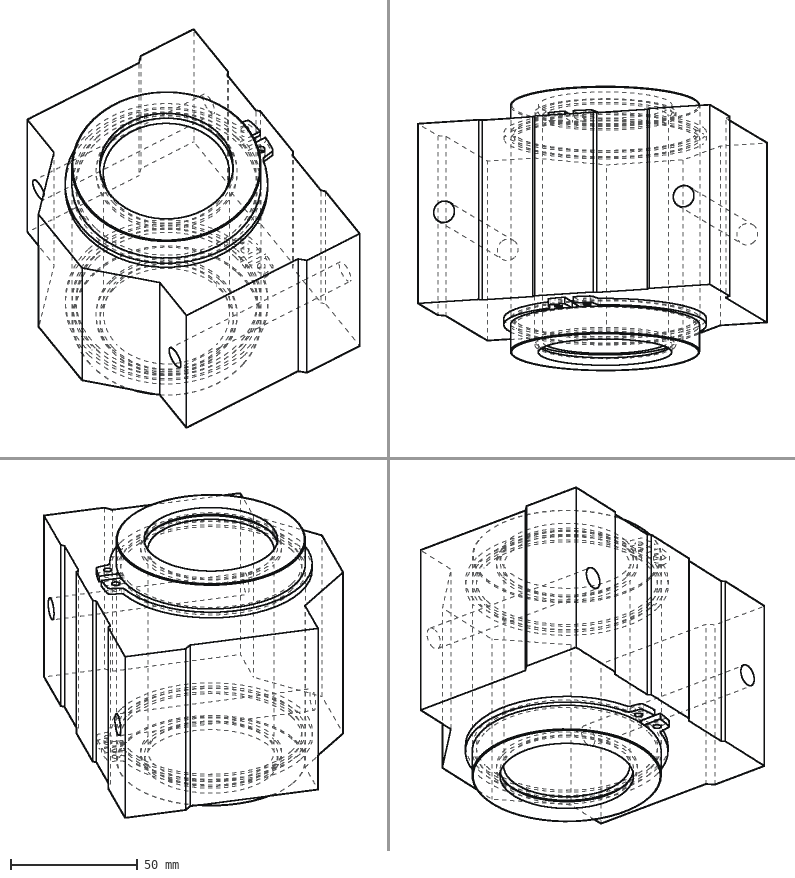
import cadquery as cq
import math

housing_height = 72.7
head_width = 122.0
body_width = 116.9
head_face_y = 52.0
head_side_y = 27.1
shoulder_y = -28.0
nose_y = -50.0
shoulder_half_width = 38.8
nose_half_width = 16.0

relief_center_x = 23.9
relief_width = 23.4
relief_depth = 1.2

mount_hole_diameter = 8.7
mount_hole_x = 50.0

sleeve_length = 100.0
sleeve_diameter = 75.0
bore_diameter = 50.0
mouth_diameter = 53.0
mouth_depth = 3.0
undercut_diameter = 56.0
undercut_length = 1.5
sleeve_end_chamfer = 0.4
groove_diameter = 72.0

ring_thickness = 2.6
ring_diameter = 80.4
ring_gap = 3.7
lug_tip_radius = 45.5
lug_tip_half_width = 9.2
lug_root_half_width = 10.1
lug_fillet = 1.2
lug_hole_diameter = 3.0
lug_hole_x = 6.0
lug_hole_y = 40.7

ring_center_z = (housing_height + ring_thickness) / 2


def cylinder(diameter, height):
    """Cylinder on the Z axis, centred on the origin."""
    return cq.Workplane("XY").cylinder(height, diameter / 2)


def make_housing():
    half_head = head_width / 2
    half_body = body_width / 2
    body_side_y = head_side_y - (half_head - half_body)
    right_side = [
        (nose_half_width, nose_y),
        (shoulder_half_width, shoulder_y),
        (half_body, shoulder_y),
        (half_body, body_side_y),
        (half_head, head_side_y),
        (half_head, head_face_y),
    ]
    left_side = [(-x, y) for x, y in reversed(right_side)]
    block = cq.Workplane("XY").polyline(right_side + left_side).close()
    block = block.extrude(housing_height / 2, both=True)

    half_mouth = relief_width / 2
    half_floor = half_mouth - relief_depth
    floor_y = head_face_y - relief_depth
    for side in (-1, 1):
        center_x = side * relief_center_x
        relief = cq.Workplane("XY").polyline([
            (center_x - half_mouth, head_face_y),
            (center_x - half_floor, floor_y),
            (center_x + half_floor, floor_y),
            (center_x + half_mouth, head_face_y),
        ]).close().extrude(housing_height / 2, both=True)
        block = block.cut(relief)

    mount_holes = (
        cq.Workplane("XZ")
        .pushPoints([(-mount_hole_x, 0), (mount_hole_x, 0)])
        .circle(mount_hole_diameter / 2)
        .extrude(head_width, both=True)
    )
    return block.cut(mount_holes).cut(cylinder(sleeve_diameter, housing_height))


def make_sleeve():
    sleeve = cylinder(sleeve_diameter, sleeve_length).faces("|Z").chamfer(sleeve_end_chamfer)
    sleeve = sleeve.cut(cylinder(bore_diameter, sleeve_length))
    mouth = cylinder(mouth_diameter, mouth_depth)
    undercut = cylinder(undercut_diameter, undercut_length)
    groove = cylinder(sleeve_diameter, ring_thickness).cut(cylinder(groove_diameter, ring_thickness))
    mouth_center_z = (sleeve_length - mouth_depth) / 2
    undercut_center_z = (sleeve_length - undercut_length) / 2 - mouth_depth
    for side in (-1, 1):
        sleeve = sleeve.cut(mouth.translate((0, 0, side * mouth_center_z)))
        sleeve = sleeve.cut(undercut.translate((0, 0, side * undercut_center_z)))
        sleeve = sleeve.cut(groove.translate((0, 0, side * ring_center_z)))
    return sleeve


def make_retaining_ring():
    """External retaining ring centred on the origin, with its gap and lugs at +Y."""
    lug_tip_y = math.sqrt(lug_tip_radius**2 - lug_tip_half_width**2)
    lug_root_y = math.sqrt((ring_diameter / 2) ** 2 - lug_root_half_width**2)
    lugs = (
        cq.Workplane("XY")
        .moveTo(0, 0)
        .lineTo(lug_root_half_width, lug_root_y)
        .lineTo(lug_tip_half_width, lug_tip_y)
        .threePointArc((0, lug_tip_radius), (-lug_tip_half_width, lug_tip_y))
        .lineTo(-lug_root_half_width, lug_root_y)
        .close()
        .extrude(ring_thickness / 2, both=True)
    )
    gap = cq.Workplane("XY").box(ring_gap, lug_tip_radius, ring_thickness, centered=(True, False, True))
    lug_holes = (
        cq.Workplane("XY")
        .pushPoints([(-lug_hole_x, lug_hole_y), (lug_hole_x, lug_hole_y)])
        .circle(lug_hole_diameter / 2)
        .extrude(ring_thickness / 2, both=True)
    )
    lug_region = cq.selectors.BoxSelector(
        (-lug_tip_radius, lug_root_y / 2, -ring_thickness),
        (lug_tip_radius, lug_tip_radius, ring_thickness),
    )
    ring = cylinder(ring_diameter, ring_thickness).union(lugs)
    ring = ring.edges("|Z").edges(lug_region).fillet(lug_fillet)
    return ring.cut(cylinder(groove_diameter, ring_thickness)).cut(gap).cut(lug_holes)


housing = make_housing()
sleeve = make_sleeve()
rings = [
    make_retaining_ring().translate((0, 0, side * ring_center_z))
    for side in (-1, 1)
]

result = cq.Compound.makeCompound([
    housing.val(),
    sleeve.val(),
    *[ring.val() for ring in rings],
])